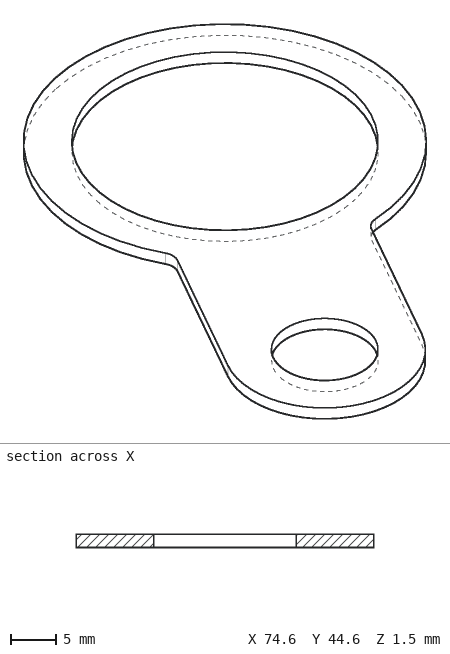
import cadquery as cq
import math

thickness = 1.5
overall_length = 74.6
ring_outer_diameter = 44.6
ring_bore_diameter = 33.9
tab_width = 22.3
tab_hole_diameter = 11.8
neck_fillet_radius = 2.0

ring_radius = ring_outer_diameter / 2
tab_half_width = tab_width / 2
tab_end_x = overall_length - ring_radius
tab_hole_x = tab_end_x - tab_half_width


def neck_fillet_points():
    """Start, middle and end of the upper concave arc joining the ring to the tab."""
    centre_y = tab_half_width + neck_fillet_radius
    centre_distance = ring_radius + neck_fillet_radius
    centre_x = math.sqrt(centre_distance**2 - centre_y**2)

    ring_angle = math.atan2(centre_y, centre_x)
    start_angle = ring_angle + math.pi
    end_angle = 3 * math.pi / 2
    middle_angle = (start_angle + end_angle) / 2

    def on_fillet(angle):
        return (
            centre_x + neck_fillet_radius * math.cos(angle),
            centre_y + neck_fillet_radius * math.sin(angle),
        )

    return on_fillet(start_angle), on_fillet(middle_angle), on_fillet(end_angle)


def mirrored(point):
    """Reflect a point across the X axis."""
    return (point[0], -point[1])


def tag_blank():
    """Solid plate: round ring body blended into a tab with a rounded end."""
    on_ring, on_middle, on_tab = neck_fillet_points()
    return (
        cq.Workplane("XY")
        .moveTo(*on_ring)
        .threePointArc(on_middle, on_tab)
        .lineTo(tab_hole_x, tab_half_width)
        .threePointArc((tab_end_x, 0), (tab_hole_x, -tab_half_width))
        .lineTo(*mirrored(on_tab))
        .threePointArc(mirrored(on_middle), mirrored(on_ring))
        .threePointArc((-ring_radius, 0), on_ring)
        .close()
        .extrude(thickness)
    )


def through_hole(centre_x, diameter):
    """Cutting cylinder through the full plate thickness."""
    return cq.Workplane("XY").center(centre_x, 0).circle(diameter / 2).extrude(thickness)


ring_bore = through_hole(0, ring_bore_diameter)
tab_hole = through_hole(tab_hole_x, tab_hole_diameter)

result = tag_blank().cut(ring_bore).cut(tab_hole)